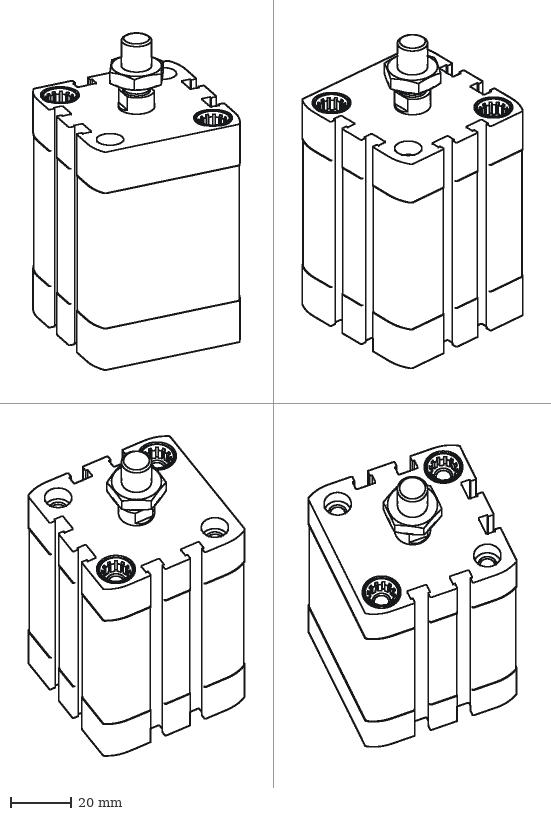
import cadquery as cq
import math


cap_width = 54.5
tube_width = 54.0
housing_height = 80.1
cap_height = 15.2
tube_height = housing_height - 2 * cap_height
corner_arc_length = 8.35
corner_arc_radius = 15.5
corner_fillet = 1.0
arc_start_x = cap_width / 2 - corner_arc_length

slot_offset = 7.6
slot_opening = 5.5
slot_inner_width = 7.0
slot_depth = 5.35
slot_lip = 2.1
slot_edge_fillet = 0.35
slot_floor_fillet = 0.4

hole_offset = 19.0
through_diameter = 4.92
countersink_diameter = 6.0
counterbore_diameter = 9.0
counterbore_depth = 5.25

socket_rim_diameter = 12.8
socket_groove_diameter = 12.0
socket_groove_depth = 0.5
socket_land_outer_diameter = 11.2
socket_land_inner_diameter = 10.9
socket_land_depth = 0.1
socket_bore_diameter = 8.2
socket_cone_height = 1.5
spline_count = 12
spline_root_diameter = 9.5
spline_width = 0.9

rod_diameter = 12.0
thread_diameter = 10.0
relief_diameter = 8.57
relief_flare_diameter = 9.2
rod_projection = 25.0
rod_embedding = cap_height
wrench_flats = 10.0
wrench_flat_start = 1.15
wrench_runout_angle = 30.0
shoulder_height = 6.0
relief_flare_height = 0.6
relief_height = 1.0
thread_start = 0.5
tip_chamfer_height = 0.65
tip_diameter = 8.5

nut_across_flats = 17.0
nut_turn = 30.0
nut_height = 5.0
nut_standoff = 10.0
nut_bottom = housing_height + nut_standoff
nut_chamfer_diameter = 16.6
nut_chamfer_angle = 20.0


def housing_block(width, height, bottom):
    """Block with an arc from the side to the face on each of its four vertical corners."""
    half = width / 2
    reach = half - arc_start_x
    arc_center_y = half - corner_arc_radius
    mid_x = arc_start_x + reach / 2
    mid_y = arc_center_y + math.sqrt(corner_arc_radius**2 - (reach / 2) ** 2)
    side_y = arc_center_y + math.sqrt(corner_arc_radius**2 - reach**2)
    block = (
        cq.Workplane("XY", origin=(0, 0, bottom))
        .moveTo(-arc_start_x, half)
        .lineTo(arc_start_x, half)
        .threePointArc((mid_x, mid_y), (half, side_y))
        .lineTo(half, -side_y)
        .threePointArc((mid_x, -mid_y), (arc_start_x, -half))
        .lineTo(-arc_start_x, -half)
        .threePointArc((-mid_x, -mid_y), (-half, -side_y))
        .lineTo(-half, side_y)
        .threePointArc((-mid_x, mid_y), (-arc_start_x, half))
        .close()
        .extrude(height)
    )
    side_edges = block.faces("<X or >X").edges("|Z")
    return side_edges.fillet(corner_fillet)


def t_slot(width, height, bottom):
    """T-slot cutter for a block of the given width, opening towards +X with rounded mouth edges."""
    mouth_x = width / 2
    floor_x = cap_width / 2 - slot_depth
    lip_x = cap_width / 2 - slot_lip
    half_opening = slot_opening / 2
    half_inner = slot_inner_width / 2
    half_mouth = half_opening + slot_edge_fillet
    round_start_x = mouth_x - slot_edge_fillet
    round_mid_x = mouth_x - slot_edge_fillet * (1 - math.sqrt(0.5))
    round_mid_y = half_mouth - slot_edge_fillet * math.sqrt(0.5)
    return (
        cq.Workplane("XY", origin=(0, 0, bottom))
        .moveTo(floor_x, half_inner)
        .lineTo(lip_x, half_inner)
        .lineTo(lip_x, half_opening)
        .lineTo(round_start_x, half_opening)
        .threePointArc((round_mid_x, round_mid_y), (mouth_x, half_mouth))
        .lineTo(mouth_x, -half_mouth)
        .threePointArc((round_mid_x, -round_mid_y), (round_start_x, -half_opening))
        .lineTo(lip_x, -half_opening)
        .lineTo(lip_x, -half_inner)
        .lineTo(floor_x, -half_inner)
        .close()
        .extrude(height)
        .faces("<X")
        .edges("|Z")
        .fillet(slot_floor_fillet)
    )


def housing_section(width, height, bottom):
    """Block with two T-slots on each of the +Y, -X and -Y faces."""
    section = housing_block(width, height, bottom)
    for angle in (90, 180, 270):
        for offset in (-slot_offset, slot_offset):
            slot = t_slot(width, height, bottom).translate((0, offset, 0))
            section = section.cut(slot.rotate((0, 0, 0), (0, 0, 1), angle))
    return section


def revolved(points):
    """Solid of revolution about Z from (radius, height) points."""
    return cq.Workplane("XZ").polyline(points).close().revolve(360, (0, 0, 0), (0, 1, 0))


def through_hole(bore_diameter):
    """Counterbored and countersunk hole through the housing, on the Z axis."""
    floor = housing_height - counterbore_depth
    countersink_depth = (countersink_diameter - through_diameter) / 2
    return revolved([
        (0, 0),
        (through_diameter / 2, 0),
        (through_diameter / 2, floor - countersink_depth),
        (countersink_diameter / 2, floor),
        (bore_diameter / 2, floor),
        (bore_diameter / 2, housing_height),
        (0, housing_height),
    ])


def splined_socket():
    """Screw socket with a ring groove, a lead-in cone and splines, on the Z axis."""
    top = housing_height
    land = top - socket_land_depth
    cone_bottom = land - socket_cone_height
    mouth = revolved([
        (0, top),
        (socket_rim_diameter / 2, top),
        (socket_groove_diameter / 2, top - socket_groove_depth),
        (socket_land_outer_diameter / 2, land),
        (socket_land_inner_diameter / 2, land),
        (socket_bore_diameter / 2, cone_bottom),
        (0, cone_bottom),
    ])
    socket = through_hole(socket_bore_diameter).union(mouth)
    floor = top - counterbore_depth
    spline_ring = (
        cq.Workplane("XY", origin=(0, 0, floor))
        .circle(spline_root_diameter / 2)
        .circle(countersink_diameter / 2)
        .extrude(land - floor)
    )
    for index in range(spline_count):
        groove = (
            cq.Workplane("XY", origin=(0, 0, floor))
            .box(socket_rim_diameter / 2, spline_width, land - floor, centered=(False, True, False))
            .rotate((0, 0, 0), (0, 0, 1), index * 360 / spline_count)
        )
        socket = socket.union(groove.intersect(spline_ring))
    return socket


def build_housing():
    """Two end caps and the slightly narrower tube between them, with corner holes and the rod bore."""
    body = housing_section(cap_width, cap_height, 0)
    body = body.union(housing_section(tube_width, tube_height, cap_height))
    body = body.union(housing_section(cap_width, cap_height, housing_height - cap_height))
    for side in (-1, 1):
        plain_place = (side * hole_offset, -side * hole_offset, 0)
        splined_place = (side * hole_offset, side * hole_offset, 0)
        body = body.cut(through_hole(counterbore_diameter).translate(plain_place))
        body = body.cut(splined_socket().translate(splined_place))
    rod_bore = (
        cq.Workplane("XY", origin=(0, 0, housing_height - rod_embedding))
        .circle(rod_diameter / 2)
        .extrude(rod_embedding)
    )
    return body.cut(rod_bore)


def build_rod():
    """Rod with two wrench flats, a relief below the thread and a chamfered tip."""
    shoulder = housing_height + shoulder_height
    relief_bottom = shoulder + relief_flare_height
    relief_top = relief_bottom + relief_height
    tip = housing_height + rod_projection
    rod = revolved([
        (0, housing_height - rod_embedding),
        (rod_diameter / 2, housing_height - rod_embedding),
        (rod_diameter / 2, shoulder),
        (relief_flare_diameter / 2, shoulder),
        (relief_diameter / 2, relief_bottom),
        (relief_diameter / 2, relief_top),
        (thread_diameter / 2, nut_bottom + thread_start),
        (thread_diameter / 2, tip - tip_chamfer_height),
        (tip_diameter / 2, tip),
        (0, tip),
    ])
    flat_y = wrench_flats / 2
    flat_bottom = housing_height + wrench_flat_start
    cut_y = rod_diameter
    runout_drop = (cut_y - flat_y) * math.tan(math.radians(wrench_runout_angle))
    flat_outline = [
        (flat_y, shoulder),
        (flat_y, flat_bottom),
        (cut_y, flat_bottom - runout_drop),
        (cut_y, shoulder),
    ]
    flat_cut = (
        cq.Workplane("YZ")
        .polyline(flat_outline)
        .close()
        .extrude(rod_diameter / 2, both=True)
    )
    return rod.cut(flat_cut).cut(flat_cut.mirror("XZ"))


def build_nut():
    """Hexagon nut with turned corners on both ends, bored to the thread diameter."""
    corner_diameter = nut_across_flats / math.cos(math.pi / 6)
    hexagon = (
        cq.Workplane("XY", origin=(0, 0, nut_bottom))
        .polygon(6, corner_diameter)
        .extrude(nut_height)
        .rotate((0, 0, 0), (0, 0, 1), nut_turn)
    )
    face_radius = nut_chamfer_diameter / 2
    outer_radius = corner_diameter
    drop = (outer_radius - face_radius) * math.tan(math.radians(nut_chamfer_angle))
    nut_top = nut_bottom + nut_height
    envelope = revolved([
        (thread_diameter / 2, nut_bottom),
        (face_radius, nut_bottom),
        (outer_radius, nut_bottom + drop),
        (outer_radius, nut_top - drop),
        (face_radius, nut_top),
        (thread_diameter / 2, nut_top),
    ])
    return hexagon.intersect(envelope)


housing = build_housing()
piston_rod = build_rod()
lock_nut = build_nut()

result = cq.Compound.makeCompound([housing.val(), piston_rod.val(), lock_nut.val()])